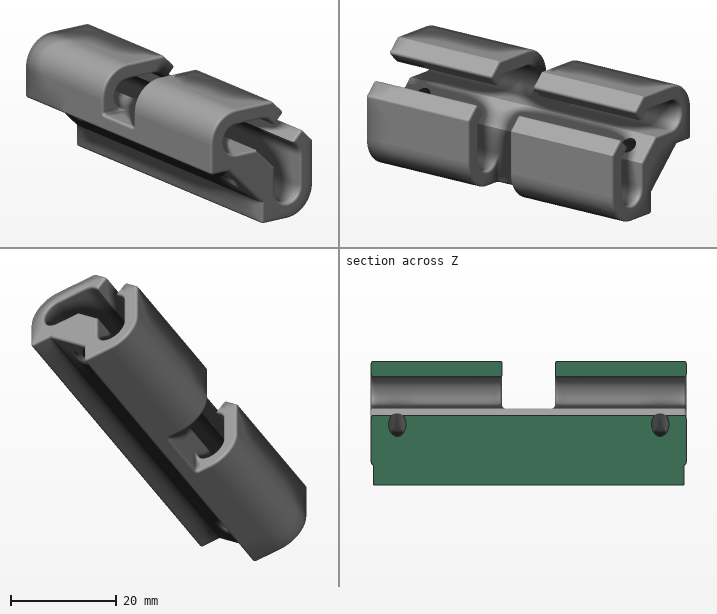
import cadquery as cq
import math

length = 60.0
size = 24.0
wall = 3.0
channel_width = 6.0
foot = size / 2
notch_width = 10.0
hole_diameter = 3.2
hole_inset = 5.0
edge_radius = 0.5
tip_angle = 45
tolerance = 0.01

diagonal = math.sqrt(2)
channel_radius = channel_width / 2
outer_radius = channel_radius + wall
bend_near = outer_radius
bend_far = size / 2
bend_line = size - outer_radius
channel_floor = bend_line - channel_radius
channel_roof = bend_line + channel_radius
diagonal_sum = bend_far + bend_line
mouth_offset = channel_radius * diagonal
tip_inner_sum = diagonal_sum + channel_radius * diagonal
tip_outer_sum = diagonal_sum + outer_radius * diagonal
web_inner_sum = diagonal_sum - channel_radius * diagonal
seat_sum = foot + channel_radius * diagonal

inner_tip = ((tip_inner_sum - mouth_offset) / 2, (tip_inner_sum + mouth_offset) / 2)
outer_tip = ((tip_outer_sum - mouth_offset) / 2, (tip_outer_sum + mouth_offset) / 2)


def on_circle(center, radius, degrees):
    """Point on a circle in the (Y, Z) plane, at an angle from +Y toward +Z."""
    angle = math.radians(degrees)
    return (center[0] + radius * math.cos(angle), center[1] + radius * math.sin(angle))


def swap(point):
    """Mirror a (Y, Z) point across the plane Y = Z."""
    return (point[1], point[0])


def make_bar():
    """Double hook section, symmetric about Y = Z, extruded along X."""
    near = (bend_near, bend_line)
    far = (bend_far, bend_line)
    outer_mid = on_circle(near, outer_radius, 180 - tip_angle)
    channel_mid = (bend_near - channel_radius, bend_line)
    tip_bend_start = on_circle(far, channel_radius, tip_angle)
    tip_bend_mid = on_circle(far, channel_radius, (tip_angle + 90) / 2)
    web_corner = (web_inner_sum - channel_floor, channel_floor)
    section = (
        cq.Workplane("YZ")
        .workplane(offset=-length / 2)
        .moveTo(0, foot)
        .lineTo(0, bend_line)
        .threePointArc(outer_mid, (bend_near, size))
        .lineTo(tip_outer_sum - size, size)
        .lineTo(*outer_tip)
        .lineTo(*inner_tip)
        .lineTo(*tip_bend_start)
        .threePointArc(tip_bend_mid, (bend_far, channel_roof))
        .lineTo(bend_near, channel_roof)
        .threePointArc(channel_mid, (bend_near, channel_floor))
        .lineTo(*web_corner)
        .lineTo(*swap(web_corner))
        .lineTo(channel_floor, bend_near)
        .threePointArc(swap(channel_mid), (channel_roof, bend_near))
        .lineTo(channel_roof, bend_far)
        .threePointArc(swap(tip_bend_mid), swap(tip_bend_start))
        .lineTo(*swap(inner_tip))
        .lineTo(*swap(outer_tip))
        .lineTo(size, tip_outer_sum - size)
        .lineTo(size, bend_near)
        .threePointArc(swap(outer_mid), (bend_line, 0))
        .lineTo(foot, 0)
        .lineTo(foot, seat_sum - foot)
        .lineTo(seat_sum - foot, foot)
        .close()
    )
    return section.extrude(length)


def edges_along_x(body, point):
    """Long edges of the body that pass through a (Y, Z) point."""
    low = (-length, point[0] - tolerance, point[1] - tolerance)
    high = (length, point[0] + tolerance, point[1] + tolerance)
    return body.edges("|X").edges(cq.selectors.BoxSelector(low, high))


def round_long_edges(body):
    """Round the foot corners and the outer corner of each hook tip."""
    for corner in ((0, foot), (foot, 0), outer_tip, swap(outer_tip)):
        body = edges_along_x(body, corner).fillet(edge_radius)
    return body


def cut_notch(body):
    """Clear both hooks over the notch width, leaving the web and rounded floor corners."""
    upper = (
        cq.Workplane("XY", origin=(0, 0, channel_floor))
        .box(notch_width, 2 * size, size, centered=(True, True, False))
        .edges("|Y and <Z")
        .fillet(edge_radius)
    )
    rear = (
        cq.Workplane("XY", origin=(0, channel_floor, 0))
        .box(notch_width, size, 2 * size, centered=(True, False, True))
        .edges("|Z and <Y")
        .fillet(edge_radius)
    )
    return body.cut(upper).cut(rear)


def faces_at(body, x):
    """Flat faces of the body lying in the plane at X = x."""
    low = (x - tolerance, -size, -size)
    high = (x + tolerance, 2 * size, 2 * size)
    return body.faces(cq.selectors.BoxSelector(low, high, boundingbox=True))


def round_profile_edges(body):
    """Round the section edges at both ends and on both walls of the notch."""
    for x in (-length / 2, length / 2, -notch_width / 2, notch_width / 2):
        body = faces_at(body, x).edges().fillet(edge_radius)
    return body


def cut_holes(body):
    """Screw holes square to the sloped seat, through the web, with a rounded mouth."""
    seat_middle = seat_sum / 2
    web_thickness = (web_inner_sum - seat_sum) / diagonal
    for x in (hole_inset - length / 2, length / 2 - hole_inset):
        center = cq.Vector(x, seat_middle, seat_middle)
        seat = cq.Plane(origin=center, xDir=(1, 0, 0), normal=(0, 1, 1))
        drill = cq.Workplane(seat).circle(hole_diameter / 2).extrude(web_thickness)
        body = body.cut(drill)
        mouth = cq.selectors.NearestToPointSelector(center.toTuple())
        body = body.edges("%CIRCLE").edges(mouth).fillet(edge_radius)
    return body


bar = round_long_edges(make_bar())
notched_bar = round_profile_edges(cut_notch(bar))
result = cut_holes(notched_bar).solids()